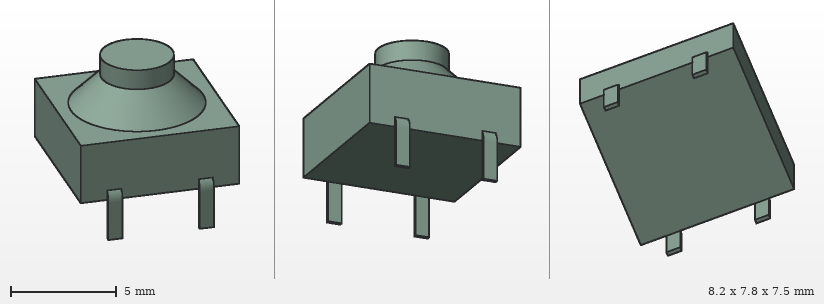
import cadquery as cq

overall_length = 8.2
body_side = 7.8
body_height = 3.0
cone_base_diameter = 6.5
cone_height = 1.5
button_diameter = 3.5
button_height = 1.0
leg_width = 0.7
leg_pitch = 4.5
leg_drop = 2.0
leg_rise = 0.5
bend_end_drop = 0.03

leg_thickness = (overall_length - body_side) / 2
bend_height = leg_rise + bend_end_drop
bend_radius = (leg_thickness**2 + bend_height**2) / (2 * leg_thickness)


def make_body():
    return cq.Workplane("XY").box(body_side, body_side, body_height, centered=(True, True, False))


def make_plunger():
    """Conical skirt with a cylindrical button on top, as one revolved profile."""
    skirt_top = body_height + cone_height
    return (
        cq.Workplane("XZ")
        .moveTo(0, body_height)
        .lineTo(cone_base_diameter / 2, body_height)
        .lineTo(button_diameter / 2, skirt_top)
        .lineTo(button_diameter / 2, skirt_top + button_height)
        .lineTo(0, skirt_top + button_height)
        .close()
        .revolve(360, (0, 0, 0), (0, 1, 0))
    )


def make_leg(side, y_center):
    """Flat leg on the -X (side = -1) or +X (side = 1) wall, rounded over at its top."""
    wall_x = side * body_side / 2
    outer_x = side * overall_length / 2
    return (
        cq.Workplane("XZ", origin=(0, y_center, 0))
        .moveTo(wall_x, -leg_drop)
        .lineTo(outer_x, -leg_drop)
        .lineTo(outer_x, -bend_end_drop)
        .radiusArc((wall_x, leg_rise), -side * bend_radius)
        .close()
        .extrude(leg_width / 2, both=True)
    )


result = make_body().union(make_plunger())
for side in (-1, 1):
    for y_center in (-leg_pitch / 2, leg_pitch / 2):
        result = result.union(make_leg(side, y_center))